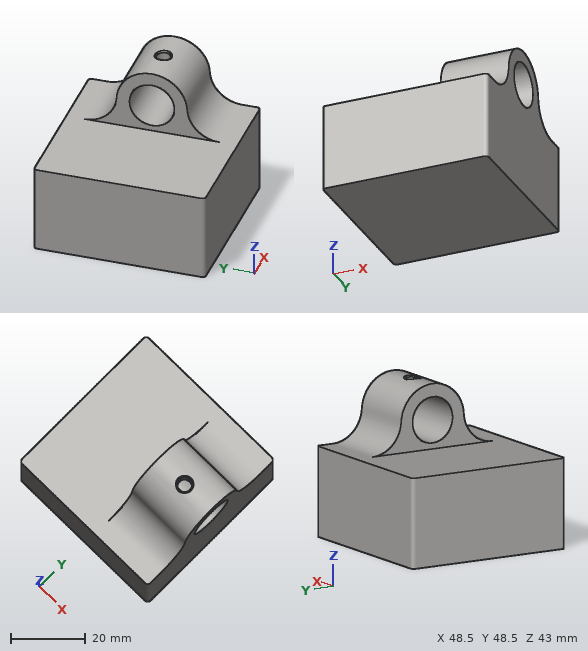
import cadquery as cq
import math

base_side = 48.5
base_height = 25.05
corner_radius = 1.0

total_height = 43.0
lug_length = 20.0
lug_radius = 10.0
bore_diameter = 12.7
flare_radius = 9.0
axis_z = total_height - lug_radius

screw_diameter = 4.0
screw_mouth_diameter = 4.8
screw_chamfer = (screw_mouth_diameter - screw_diameter) / 2

lug_start_x = base_side / 2 - lug_length
lug_middle_x = base_side / 2 - lug_length / 2


def make_base():
    block = cq.Workplane("XY").box(base_side, base_side, base_height, centered=(True, True, False))
    return block.edges("|Z").fillet(corner_radius)


def make_lug():
    flare_z = base_height + flare_radius
    centre_distance = lug_radius + flare_radius
    flare_y = math.sqrt(centre_distance**2 - (flare_z - axis_z) ** 2)
    contact_y = flare_y * lug_radius / centre_distance
    contact_z = axis_z + (flare_z - axis_z) * lug_radius / centre_distance

    contact_angle = math.atan2(contact_z - flare_z, contact_y - flare_y) % (2 * math.pi)
    middle_angle = (contact_angle + 1.5 * math.pi) / 2
    middle_y = flare_y + flare_radius * math.cos(middle_angle)
    middle_z = flare_z + flare_radius * math.sin(middle_angle)

    return (
        cq.Workplane("YZ", origin=(lug_start_x, 0, 0))
        .moveTo(-flare_y, base_height)
        .threePointArc((-middle_y, middle_z), (-contact_y, contact_z))
        .threePointArc((0, total_height), (contact_y, contact_z))
        .threePointArc((middle_y, middle_z), (flare_y, base_height))
        .lineTo(flare_y, base_height / 2)
        .lineTo(-flare_y, base_height / 2)
        .close()
        .extrude(lug_length)
    )


def make_bore():
    return (
        cq.Workplane("YZ", origin=(lug_start_x, 0, 0))
        .center(0, axis_z)
        .circle(bore_diameter / 2)
        .extrude(lug_length)
    )


def make_screw_hole():
    return (
        cq.Workplane("XY", origin=(lug_middle_x, 0, axis_z))
        .circle(screw_diameter / 2)
        .extrude(2 * lug_radius)
    )


def chamfer_screw_mouth(body):
    reach = screw_mouth_diameter / 2
    mouth = cq.selectors.BoxSelector(
        (lug_middle_x - reach, -reach, total_height - screw_diameter / 4),
        (lug_middle_x + reach, reach, total_height + screw_diameter / 4),
        boundingbox=True,
    )
    return body.edges(mouth).chamfer(screw_chamfer)


drilled = make_base().union(make_lug()).cut(make_bore()).cut(make_screw_hole())
result = chamfer_screw_mouth(drilled)